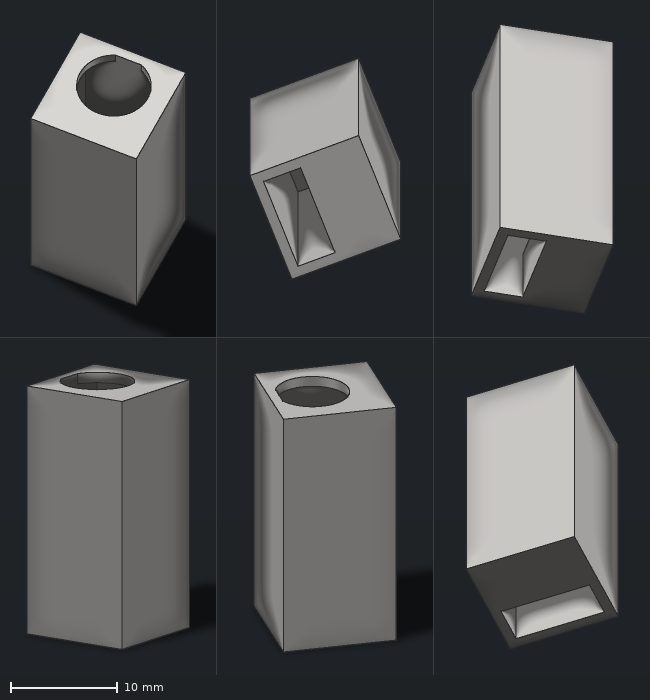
import cadquery as cq

height = 24.0
width = 11.0
wall = 1.0
hole_diameter = 7.0
hole_center_y = 1.25
floor_height = 5.0
floor_edge_y = -0.75

cavity_width = width - 2 * wall
cavity_back_y = cavity_width / 2
floor_depth = cavity_back_y - floor_edge_y


def block(size_x, size_y, bottom, top, center_y=0):
    """Upright block centered on X, between two heights."""
    return (
        cq.Workplane("XY", origin=(0, center_y, bottom))
        .rect(size_x, size_y)
        .extrude(top - bottom)
    )


body = block(width, width, 0, height)
cavity = block(cavity_width, cavity_width, 0, height - wall)

floor = block(cavity_width, floor_depth, 0, floor_height, cavity_back_y - floor_depth / 2)

round_hole = (
    cq.Workplane("XY", origin=(0, hole_center_y, height - wall))
    .circle(hole_diameter / 2)
    .extrude(wall)
)
roof_opening = round_hole.intersect(block(cavity_width, cavity_width, height - wall, height))

result = body.cut(cavity).union(floor).cut(roof_opening)